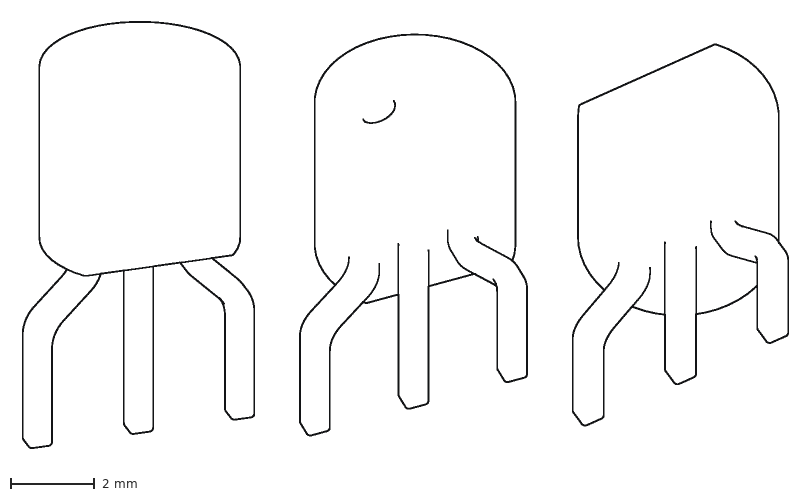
import math

import cadquery as cq

BODY_DIAMETER = 4.8
BODY_HEIGHT = 4.7
BODY_DEPTH = 3.9
BODY_CENTER_X = 0.1
EDGE_RADIUS = 0.1

MARK_DIAMETER = 0.85
MARK_DEPTH = 0.2
MARK_HEIGHT = 2.45
MARK_EDGE_RADIUS = 0.05

LEAD_WIDTH = 0.6
LEAD_LENGTH = 5.0
LEAD_PITCH = 2.54
ROOT_PITCH = 1.27
BEND_ANGLE = 45.0
BEND_RADIUS = 1.0
ROOT_STRAIGHT = 0.1
ROOT_FILLET = 0.1

BODY_RADIUS = BODY_DIAMETER / 2
ROUND_SIDE_X = BODY_CENTER_X - BODY_RADIUS
FLAT_X = ROUND_SIDE_X + BODY_DEPTH


def make_body():
    """Flat-sided cylinder with every edge rounded."""
    cylinder = cq.Workplane("XY").center(BODY_CENTER_X, 0).circle(BODY_RADIUS).extrude(BODY_HEIGHT)
    beyond_flat = cq.Workplane("XY").box(
        BODY_DIAMETER, BODY_DIAMETER, BODY_HEIGHT, centered=(False, True, False)
    )
    body = cylinder.cut(beyond_flat.translate((FLAT_X, 0, 0)))
    body = body.faces(">X").edges("|Z").fillet(EDGE_RADIUS)
    return body.faces("<Z or >Z").edges().fillet(EDGE_RADIUS)


def cut_mark(body):
    """Sink the round mark, rounded at its floor and at its mouth."""
    floor_x = ROUND_SIDE_X + MARK_DEPTH
    plug = (
        cq.Workplane("YZ", origin=(floor_x, 0, 0))
        .center(0, MARK_HEIGHT)
        .circle(MARK_DIAMETER / 2)
        .extrude(-BODY_RADIUS)
        .faces(">X")
        .edges()
        .fillet(MARK_EDGE_RADIUS)
    )
    marked = body.cut(plug)
    reach = MARK_DIAMETER / 2 + MARK_EDGE_RADIUS
    mouth_zone = cq.selectors.BoxSelector(
        (ROUND_SIDE_X - MARK_DEPTH, -reach, MARK_HEIGHT - reach),
        (floor_x - 2 * MARK_EDGE_RADIUS, reach, MARK_HEIGHT + reach),
        boundingbox=True,
    )
    return marked.edges(mouth_zone).fillet(MARK_EDGE_RADIUS)


def extrude_lead(outline):
    """Give a lead outline its thickness along X, centred on the row."""
    return outline.close().extrude(LEAD_WIDTH / 2, both=True)


def straight_lead():
    """Middle lead, hanging straight down from the body."""
    half = LEAD_WIDTH / 2
    corners = [(-half, 0), (half, 0), (half, -LEAD_LENGTH), (-half, -LEAD_LENGTH)]
    lead = extrude_lead(cq.Workplane("YZ").polyline(corners))
    return lead.edges("not >Z").fillet(EDGE_RADIUS)


def bent_lead():
    """Lead on the +Y side: straight root, slanted run, straight tip."""
    half_bend = math.tan(math.radians(BEND_ANGLE / 2))
    slant_drop = (LEAD_PITCH - ROOT_PITCH) / math.tan(math.radians(BEND_ANGLE))
    outer_upper_z = -(ROOT_STRAIGHT + BEND_RADIUS * half_bend)
    outer_lower_z = outer_upper_z - slant_drop
    inner_offset = LEAD_WIDTH * half_bend
    half = LEAD_WIDTH / 2
    outer = [
        (ROOT_PITCH + half, 0),
        (ROOT_PITCH + half, outer_upper_z),
        (LEAD_PITCH + half, outer_lower_z),
        (LEAD_PITCH + half, -LEAD_LENGTH),
    ]
    inner = [
        (LEAD_PITCH - half, -LEAD_LENGTH),
        (LEAD_PITCH - half, outer_lower_z - inner_offset),
        (ROOT_PITCH - half, outer_upper_z - inner_offset),
        (ROOT_PITCH - half, 0),
    ]
    lead = extrude_lead(cq.Workplane("YZ").polyline(outer + inner))
    bend_zone = cq.selectors.BoxSelector(
        (-LEAD_WIDTH, 0, outer_lower_z - LEAD_WIDTH),
        (LEAD_WIDTH, LEAD_PITCH + LEAD_WIDTH, outer_upper_z + ROOT_STRAIGHT),
    )
    lead = lead.edges("|X").edges(bend_zone).fillet(BEND_RADIUS)
    return lead.edges("not >Z").fillet(EDGE_RADIUS)


def add_root_flares(body):
    """Put a short flared stub under the body for each lead, ending where the bends begin."""
    stub_ys = (-ROOT_PITCH, 0, ROOT_PITCH)
    part = body
    for y in stub_ys:
        part = part.union(straight_lead().translate((0, y, 0)))
    for y in stub_ys:
        root_zone = cq.selectors.BoxSelector(
            (-LEAD_WIDTH, y - LEAD_WIDTH, -EDGE_RADIUS / 2),
            (LEAD_WIDTH, y + LEAD_WIDTH, EDGE_RADIUS / 2),
            boundingbox=True,
        )
        part = part.edges(root_zone).fillet(ROOT_FILLET)
    below_stubs = cq.Workplane("XY", origin=(0, 0, -ROOT_STRAIGHT)).rect(BODY_DIAMETER, BODY_DIAMETER)
    return part.cut(below_stubs.extrude(-LEAD_LENGTH))


result = add_root_flares(cut_mark(make_body()))
result = result.union(straight_lead())
result = result.union(bent_lead())
result = result.union(bent_lead().mirror("XZ"))